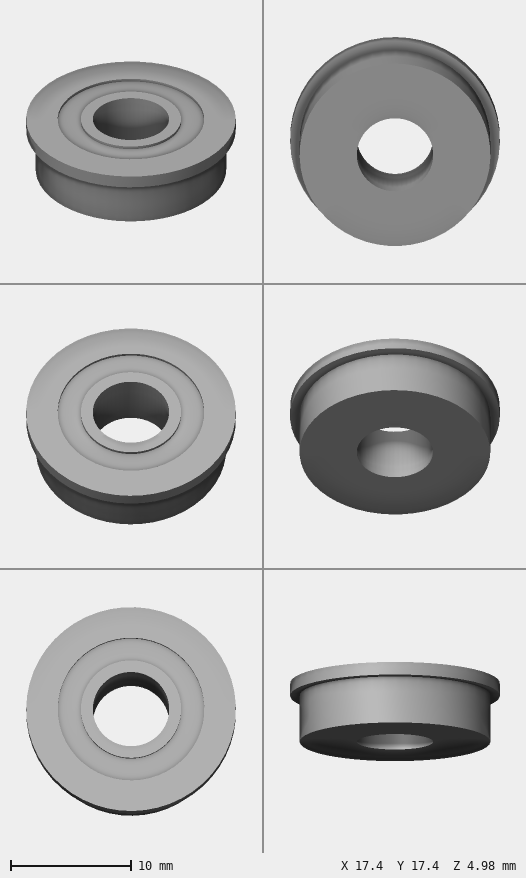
import cadquery as cq

flange_diameter = 17.45
body_diameter = 15.875
bore_diameter = 6.35
total_height = 4.98
flange_thickness = 1.07

inner_ring_diameter = 8.35
recess_diameter = 12.2
recess_depth = 0.25


def disc(diameter, bottom, height):
    """Solid disc centred on the Z axis."""
    return cq.Workplane("XY").workplane(offset=bottom).circle(diameter / 2).extrude(height)


def top_recess():
    """Ring of material removed from the top face around the inner ring."""
    bottom = total_height - recess_depth
    outer = disc(recess_diameter, bottom, recess_depth)
    return outer.cut(disc(inner_ring_diameter, bottom, recess_depth))


body = disc(body_diameter, 0, total_height)
flange = disc(flange_diameter, total_height - flange_thickness, flange_thickness)
bore = disc(bore_diameter, 0, total_height)

result = body.union(flange).cut(bore).cut(top_recess())